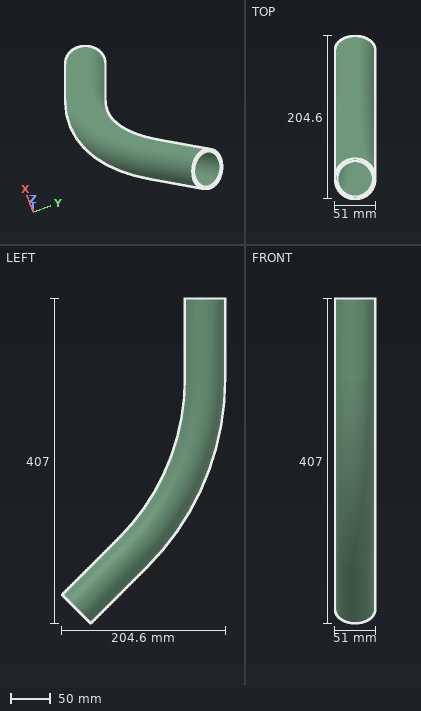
import cadquery as cq
import math

total_height = 407.0
outer_diameter = 51.0
inner_diameter = 44.8
leg_length = 101.0
bend_angle = 45.0

outer_radius = outer_diameter / 2
sin_bend = math.sin(math.radians(bend_angle))
cos_bend = math.cos(math.radians(bend_angle))
straight_height = leg_length * (1 + cos_bend)
tilted_rim_height = outer_radius * sin_bend
bend_radius = (total_height - straight_height - tilted_rim_height) / sin_bend


def bend_point(angle):
    """Centerline point (Y, Z) after turning by angle in degrees; the bend starts at the origin."""
    turn = math.radians(angle)
    return (bend_radius * (1 - math.cos(turn)), -bend_radius * math.sin(turn))


bend_end = bend_point(bend_angle)
lower_end = (bend_end[0] + leg_length * sin_bend, bend_end[1] - leg_length * cos_bend)
centerline = (
    cq.Workplane("YZ")
    .moveTo(0, leg_length)
    .lineTo(0, 0)
    .threePointArc(bend_point(bend_angle / 2), bend_end)
    .lineTo(*lower_end)
)

result = (
    cq.Workplane("XY")
    .workplane(offset=leg_length)
    .circle(outer_radius)
    .circle(inner_diameter / 2)
    .sweep(centerline)
)